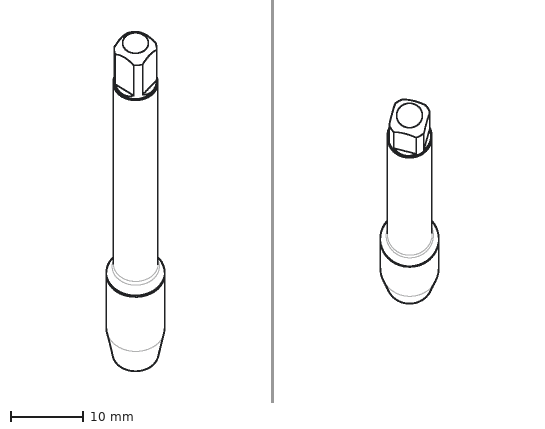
import cadquery as cq
import math

total_length = 73.1

head_diameter = 8.1
lead_diameter = 6.4
point_height = lead_diameter / 2
taper_top_z = 8.85
head_top_z = 21.05

shank_diameter = 6.2
shoulder_angle = math.radians(30)
shoulder_band_height = 0.4
shoulder_blend_radius = 1.25

drive_diameter = 5.9
drive_flats = 5.0
drive_length = 8.8
drive_ramp_angle = math.radians(45)
flat_bottom_z = 65.1
end_face_diameter = 3.6
end_chamfer_height = 0.7


def make_head():
    """Threaded head, simplified to a smooth body of revolution."""
    head_radius = head_diameter / 2
    lead_radius = lead_diameter / 2
    profile = (
        cq.Workplane("XZ")
        .moveTo(0, 0)
        .lineTo(lead_radius, point_height)
        .lineTo(head_radius, taper_top_z)
        .lineTo(head_radius, head_top_z)
        .lineTo(0, head_top_z)
        .close()
    )
    return profile.revolve(360, (0, 0), (0, 1))


def arc_point(center, radius, angle):
    """Point on an arc in the radius-height plane."""
    return (center[0] + radius * math.cos(angle), center[1] + radius * math.sin(angle))


def shank_blank():
    """Revolved shoulder, shank and round drive end."""
    shank_radius = shank_diameter / 2
    drive_radius = drive_diameter / 2
    head_radius = head_diameter / 2
    cone_base_z = head_top_z + shoulder_band_height

    blend_center_x = shank_radius + shoulder_blend_radius
    cone_end_x = blend_center_x - shoulder_blend_radius * math.cos(shoulder_angle)
    cone_end_z = cone_base_z + (head_radius - cone_end_x) / math.tan(shoulder_angle)
    blend_center = (blend_center_x, cone_end_z + shoulder_blend_radius * math.sin(shoulder_angle))
    blend_middle_angle = math.pi + shoulder_angle / 2

    shank_top_z = total_length - drive_length
    step_chamfer = shank_radius - drive_radius
    profile = (
        cq.Workplane("XZ")
        .moveTo(0, head_top_z)
        .lineTo(head_radius, head_top_z)
        .lineTo(head_radius, cone_base_z)
        .lineTo(cone_end_x, cone_end_z)
        .threePointArc(
            arc_point(blend_center, shoulder_blend_radius, blend_middle_angle),
            (shank_radius, blend_center[1]),
        )
        .lineTo(shank_radius, shank_top_z - step_chamfer)
        .lineTo(drive_radius, shank_top_z)
        .lineTo(drive_radius, total_length)
        .lineTo(0, total_length)
        .close()
    )
    return profile.revolve(360, (0, 0), (0, 1))


def flat_cutter():
    """Prism that mills one drive flat with a sloped run-out at its bottom."""
    flat_offset = drive_flats / 2
    reach = shank_diameter
    ramp_drop = (reach - flat_offset) * math.tan(drive_ramp_angle)
    return (
        cq.Workplane("XZ")
        .moveTo(flat_offset, total_length)
        .lineTo(flat_offset, flat_bottom_z)
        .lineTo(reach, flat_bottom_z - ramp_drop)
        .lineTo(reach, total_length)
        .close()
        .extrude(reach, both=True)
    )


def end_envelope():
    """Cone frustum, extended down, that bevels the tip of the drive."""
    end_radius = end_face_diameter / 2
    bevel_slope = (drive_flats / 2 - end_radius) / end_chamfer_height
    base_radius = end_radius + bevel_slope * total_length
    return cq.Workplane(cq.Solid.makeCone(base_radius, end_radius, total_length))


def make_shank():
    shank = shank_blank()
    for side in range(4):
        shank = shank.cut(flat_cutter().rotate((0, 0, 0), (0, 0, 1), 90 * side))
    return shank.intersect(end_envelope())


head = make_head()
shank = make_shank()

result = cq.Compound.makeCompound([head.val(), shank.val()])